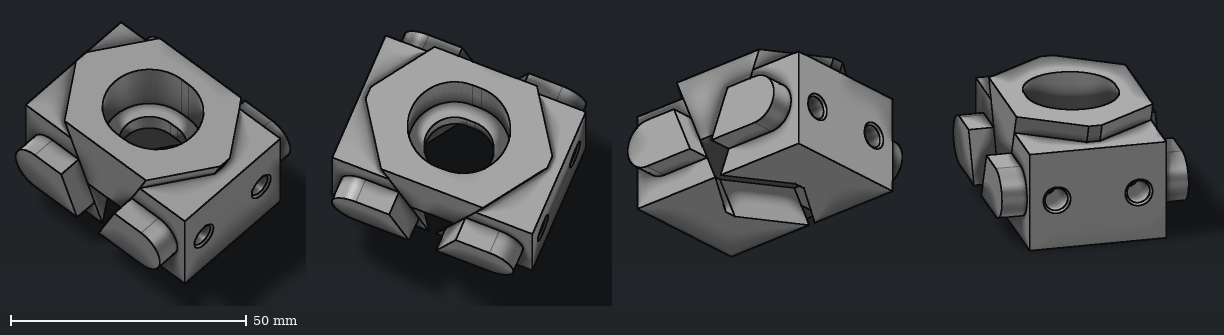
import cadquery as cq

overall_length = 46.0
body_width = 30.0
jaw_height = 22.0
bottom_gap = 1.5

top_z = 26.33
wedge_height = 16.0
wedge_bottom_z = top_z - wedge_height
wedge_top_width = 23.5
wedge_top_length = 41.7
tip_width = 2.9

slot_travel = 2.0
head_diameter = 20.0
head_depth = 12.0
shank_diameter = 13.0

lug_height = 11.0
lug_projection = 5.5
lug_axis_z = jaw_height / 2
lug_end_x = wedge_top_length / 2

thread_spacing = 18.0
thread_diameter = 6.0
tap_diameter = 5.0
tap_depth = 10.0
tap_chamfer = (thread_diameter - tap_diameter) / 2
chamfer_angle = 45.0

slope = (wedge_top_width - bottom_gap) / 2 / top_z
chevron_depth = (wedge_top_length - wedge_top_width) / 2


def chevron_half_width(z):
    """Distance in X from the middle plane to the inclined face at the front and back."""
    return bottom_gap / 2 + slope * z


def hexagon(z):
    """Closed wire of the chevron outline on both sides at height z."""
    shoulder_x = chevron_half_width(z)
    tip_x = shoulder_x + chevron_depth
    half_width = body_width / 2
    half_tip = tip_width / 2
    points = [
        (shoulder_x, -half_width),
        (tip_x, -half_tip),
        (tip_x, half_tip),
        (shoulder_x, half_width),
        (-shoulder_x, half_width),
        (-tip_x, half_tip),
        (-tip_x, -half_tip),
        (-shoulder_x, -half_width),
    ]
    return cq.Wire.makePolygon([cq.Vector(x, y, z) for x, y in points], close=True)


def tapered_hexagon(bottom_z, upper_z):
    """Solid between the chevron outlines at two heights."""
    return cq.Workplane(cq.Solid.makeLoft([hexagon(bottom_z), hexagon(upper_z)], True))


def vertical_slot(diameter, bottom_z, depth):
    """Slot prism, lengthened along X by the slot travel."""
    return (
        cq.Workplane("XY", origin=(0, 0, bottom_z))
        .slot2D(diameter + slot_travel, diameter)
        .extrude(depth)
    )


def make_wedge():
    head_recess = vertical_slot(head_diameter, top_z - head_depth, head_depth)
    shank_slot = vertical_slot(shank_diameter, wedge_bottom_z, wedge_height)
    return tapered_hexagon(wedge_bottom_z, top_z).cut(head_recess).cut(shank_slot)


def lug_bar():
    """Round-ended bar across the full width, trimmed to the inclined face on its inner end."""
    radius = lug_height / 2
    bottom_z = lug_axis_z - radius
    upper_z = lug_axis_z + radius
    arc_x = -(lug_end_x - radius)
    width = body_width + 2 * lug_projection
    return (
        cq.Workplane("XZ")
        .moveTo(-chevron_half_width(bottom_z), bottom_z)
        .lineTo(arc_x, bottom_z)
        .threePointArc((-lug_end_x, lug_axis_z), (arc_x, upper_z))
        .lineTo(-chevron_half_width(upper_z), upper_z)
        .close()
        .extrude(width / 2, both=True)
    )


def make_left_jaw():
    end_x = -overall_length / 2
    block = (
        cq.Workplane("XY", origin=(end_x, 0, 0))
        .box(overall_length / 2, body_width, jaw_height, centered=(False, True, False))
    )
    jaw = block.union(lug_bar())
    jaw = jaw.cut(tapered_hexagon(0, top_z))
    end_face = cq.Workplane("YZ", origin=(end_x, 0, lug_axis_z))
    hole_centres = [(-thread_spacing / 2, 0), (thread_spacing / 2, 0)]
    tap_holes = end_face.pushPoints(hole_centres).circle(tap_diameter / 2).extrude(tap_depth)
    chamfers = (
        end_face.pushPoints(hole_centres)
        .circle(thread_diameter / 2)
        .extrude(tap_chamfer, taper=chamfer_angle)
    )
    return jaw.cut(tap_holes).cut(chamfers)


wedge = make_wedge()
left_jaw = make_left_jaw()
right_jaw = left_jaw.mirror("YZ")

result = cq.Compound.makeCompound([wedge.val(), left_jaw.val(), right_jaw.val()])